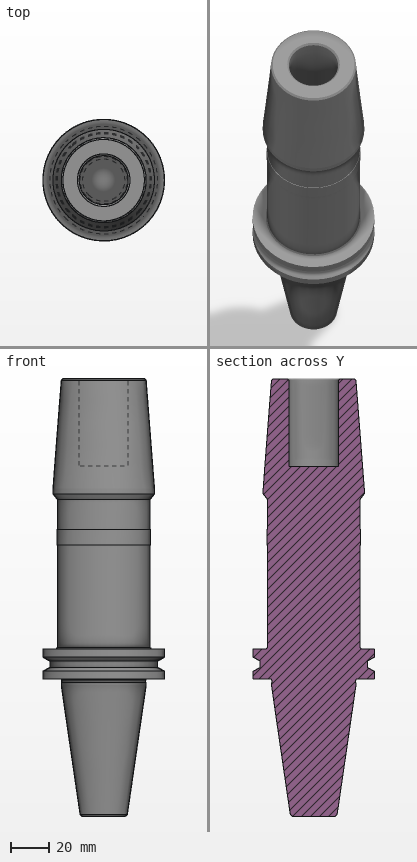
import cadquery as cq

total_height = 228.5

gauge_height = 68.5
gauge_radius = 22.2
taper_slope = 7 / 48
taper_tip_radius = gauge_radius - gauge_height * taper_slope
tip_chamfer = 1.1

neck_radius = gauge_radius
relief_radius = 22.0
relief_bottom = 70.0
relief_top = 71.3

flange_radius = 31.7
flange_bottom = 71.7
flange_top = 87.5
groove_center = 79.5
groove_floor_radius = 28.0
groove_floor_width = 3.2
groove_mouth_width = 7.3

body_radius = 24.2
foot_radius = 25.0
foot_height = 0.7
band_bottom = 141.5
band_top = 149.8
band_radius = 24.5

collar_radius = 26.5
collar_chamfer_bottom = 165.4
collar_bottom = 168.3
collar_top = 171.0
nose_top_radius = 22.2
nose_chamfer = 1.0

bore_radius = 12.8
bore_depth = 45.7
bore_chamfer = 1.0


def groove_profile():
    """Radius and height points of the gripper groove, from bottom to top."""
    half_mouth = groove_mouth_width / 2
    half_floor = groove_floor_width / 2
    return [
        (flange_radius, groove_center - half_mouth),
        (groove_floor_radius, groove_center - half_floor),
        (groove_floor_radius, groove_center + half_floor),
        (flange_radius, groove_center + half_mouth),
    ]


def holder_body():
    """Solid of revolution from the taper tip to the nose."""
    taper_points = [
        (0, 0),
        (taper_tip_radius - tip_chamfer, 0),
        (taper_tip_radius + tip_chamfer * taper_slope, tip_chamfer),
        (gauge_radius, gauge_height),
        (neck_radius, relief_bottom),
        (relief_radius, relief_bottom),
        (relief_radius, relief_top),
        (neck_radius, relief_top),
        (neck_radius, flange_bottom),
    ]
    flange_points = [
        (flange_radius, flange_bottom),
        *groove_profile(),
        (flange_radius, flange_top),
    ]
    body_points = [
        (foot_radius, flange_top),
        (body_radius, flange_top + foot_height),
        (body_radius, band_bottom),
        (band_radius, band_bottom),
        (band_radius, band_top),
        (body_radius, band_top),
        (body_radius, collar_chamfer_bottom),
    ]
    nose_points = [
        (collar_radius, collar_bottom),
        (collar_radius, collar_top),
        (nose_top_radius, total_height - nose_chamfer),
        (nose_top_radius - nose_chamfer, total_height),
        (0, total_height),
    ]
    outline = taper_points + flange_points + body_points + nose_points
    return cq.Workplane("XZ").polyline(outline).close().revolve(360, (0, 0), (0, 1))


def tool_bore():
    """Blind bore with a chamfered mouth, opening at the nose face."""
    outline = [
        (0, total_height - bore_depth),
        (bore_radius, total_height - bore_depth),
        (bore_radius, total_height - bore_chamfer),
        (bore_radius + bore_chamfer, total_height),
        (0, total_height),
    ]
    return cq.Workplane("XZ").polyline(outline).close().revolve(360, (0, 0), (0, 1))


result = holder_body().cut(tool_bore())